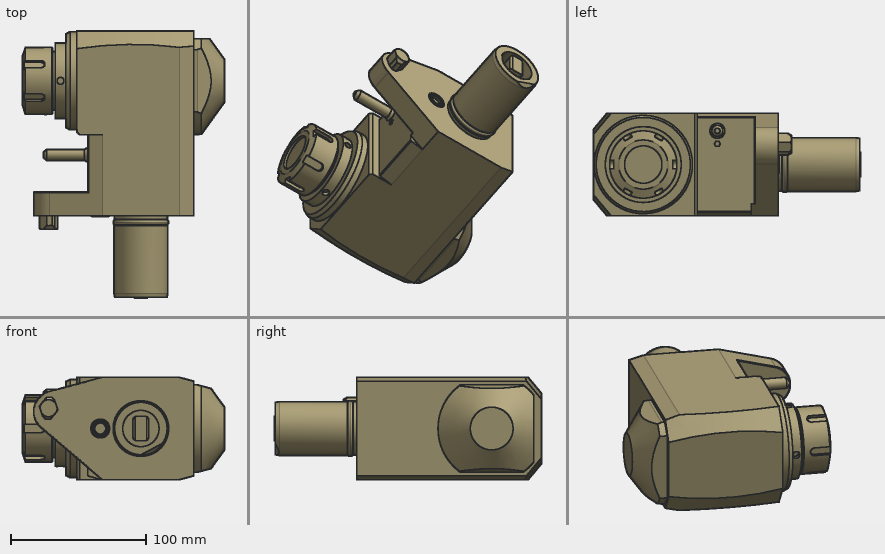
import cadquery as cq
import math


HALF_HEIGHT = 38.0
BLOCK_LEFT = -47.3
BLOCK_RIGHT = 39.2
BLOCK_BACK = 137.0
BLOCK_FRONT = 60.0
BEVEL_START = 28.3
BEVEL_ANGLE = math.radians(15)
BEVEL_SLOPE = math.tan(BEVEL_ANGLE)
FRONT_CORNER_CHAMFER = 2.0
REAR_CUT_ANGLE = 40.0
REAR_CUT_DEPTH = 7.7
REAR_CUT_RADIUS = 356.4
REAR_CUT_CENTER_X = -6.0

COLUMN_LEFT = -39.2
SHOULDER_X = -28.5
RIM_CHAMFER = 0.5
ARM_THICKNESS = 17.8
FOOT_THICKNESS = 20.2
LUG_X = -64.0
LUG_Z = 12.5
LUG_RADIUS = (HALF_HEIGHT - LUG_Z) * math.cos(BEVEL_ANGLE) - (SHOULDER_X - LUG_X) * math.sin(BEVEL_ANGLE)

SPINDLE_Y = 100.0
FLANGE_RADIUS = 36.5
FLANGE_FACE_RADIUS = 34.8
FLANGE_EDGE_X = -52.3
FLANGE_FACE_X = -55.5
RING_RADIUS = 28.1
RING_FACE_X = -63.5
NECK_RADIUS = 21.8
NUT_RADIUS = 25.0
NUT_BACK_X = -65.3
NUT_BACK_CHAMFER = 0.8
NUT_FRONT_X = -87.7
NUT_FACE_RADIUS = 18.2
NUT_CONE_LENGTH = 2.2
COLLET_RADIUS = 13.9
COLLET_DEPTH = 2.0
SLOT_COUNT = 6
SLOT_WIDTH = 6.1
SLOT_END_X = -71.0
SLOT_FLOOR_RADIUS = 22.0
RING_HOLE_COUNT = 4
RING_HOLE_DIAMETER = 5.1
RING_HOLE_DEPTH = 4.0

CAP_RADIUS = 39.8
CAP_CONE_X = 44.7
CAP_END_X = 62.0
CAP_END_RADIUS = 15.8
CAP_BACK_FLAT_Y = 131.3
CAP_FLAT_Z = 32.5
CAP_FLAT_BEND_X = 41.5

SHANK_RADIUS = 20.0
SHANK_END_Y = -60.4
SHANK_TAPER_LENGTH = 3.2
SHANK_END_RADIUS = 19.5
COLLAR_RADIUS = 19.8
GROOVE_RADIUS = 19.0
GROOVE_START_Y = -2.4
GROOVE_END_Y = -7.1
SEAL_RADIUS = 2.0
SEAL_OUTER_RADIUS = 20.5
BORE_RADIUS = 13.5
BORE_DEPTH = 11.9
BEVEL_CUT_OFFSET = 17.2
BEVEL_CUT_ANGLE = -62.0
TONGUE_WIDTH = 11.9
TONGUE_HEIGHT = 18.2
TONGUE_PROTRUSION = 0.5
TONGUE_CORNER_RADIUS = 3.2
TONGUE_CHAMFER = 1.5

BOLT_X = -68.3
BOLT_Z = 15.0
BOLT_HEIGHT = 9.9
BOLT_CORNERS = [(7.0, -1.4), (4.5, 5.5), (2.4, 8.1), (-1.4, 8.1)]
BOLT_END_RADIUS = 6.3
BOLT_CONE_LENGTH = 3.0
BOLT_CONE_WIDENING = 2.0

PLUG_X = -30.0
PLUG_RADIUS = 7.0
PLUG_FACE_RADIUS = 6.0
PLUG_HEIGHT = 0.5
PLUG_RECESS_RADIUS = 5.1
PLUG_BORE_RADIUS = 4.2
PLUG_BORE_DEPTH = 2.0

PIN_Y = 45.1
PIN_Z = 25.0
PIN_RADIUS = 4.2
PIN_TIP_RADIUS = 2.0
PIN_TIP_X = -72.3
PIN_TIP_LENGTH = 2.5
PIN_COLLAR_RADIUS = 5.5
PIN_COLLAR_LENGTH = 2.5
SCREW_Z = 15.2
SOCKET_SIDES = 6
SOCKET_DIAMETER = 4.4
SOCKET_DEPTH = 2.0

OVERLAP = 2.0
FAR = 118.8


def front_plane(y):
    """XZ plane at height y whose normal points along -Y."""
    return cq.Workplane("XZ", origin=(0, y, 0))


def turned_x(profile, y, z):
    """Revolve (x, radius) points about the line parallel to X at (y, z)."""
    points = [(profile[0][0], 0), *profile, (profile[-1][0], 0)]
    outline = cq.Workplane("XY", origin=(0, y, z)).polyline(points).close()
    return outline.revolve(360, (0, 0, 0), (1, 0, 0))


def turned_y(profile, x, z):
    """Revolve (radius, y) points about the line parallel to Y at (x, z)."""
    points = [(0, profile[0][1]), *profile, (0, profile[-1][1])]
    outline = cq.Workplane("XY", origin=(x, 0, z)).polyline(points).close()
    return outline.revolve(360, (0, 0, 0), (0, 1, 0))


def lug_tangent(corner, side):
    """Point where the line from corner touches the lug circle, on side +1 or -1."""
    dx = corner[0] - LUG_X
    dz = corner[1] - LUG_Z
    turn = side * math.acos(LUG_RADIUS / math.hypot(dx, dz))
    angle = math.atan2(dz, dx) + turn
    return (LUG_X + LUG_RADIUS * math.cos(angle), LUG_Z + LUG_RADIUS * math.sin(angle))


def bevel_drop(run):
    """Height lost along a bevelled side over a run in X."""
    return run * BEVEL_SLOPE


BEVEL_END_Z = HALF_HEIGHT - bevel_drop(BLOCK_RIGHT - BEVEL_START)
RIGHT_OUTLINE = [
    (BEVEL_START, HALF_HEIGHT),
    (BLOCK_RIGHT, BEVEL_END_Z),
    (BLOCK_RIGHT, -BEVEL_END_Z),
    (BEVEL_START, -HALF_HEIGHT),
]


def rear_corner_cut():
    """Slightly cylindrical cut that takes off the upper rear edge of the block."""
    angle = math.radians(REAR_CUT_ANGLE)
    normal = (0, math.cos(angle), math.sin(angle))
    origin = (
        REAR_CUT_CENTER_X,
        BLOCK_BACK - REAR_CUT_DEPTH * normal[1],
        HALF_HEIGHT - REAR_CUT_DEPTH * normal[2],
    )
    plane = cq.Plane(origin=origin, xDir=(1, 0, 0), normal=(0, -normal[2], normal[1]))
    half = BLOCK_RIGHT - BLOCK_LEFT
    sag = REAR_CUT_RADIUS - math.sqrt(REAR_CUT_RADIUS**2 - half**2)
    profile = cq.Workplane(plane).moveTo(-half, -sag).threePointArc((0, 0), (half, -sag))
    return profile.lineTo(half, HALF_HEIGHT).lineTo(-half, HALF_HEIGHT).close().extrude(FAR, both=True)


def make_block():
    outline = [(BLOCK_LEFT, -HALF_HEIGHT), (BLOCK_LEFT, HALF_HEIGHT), *RIGHT_OUTLINE]
    block = front_plane(BLOCK_BACK).polyline(outline).close().extrude(BLOCK_BACK - BLOCK_FRONT)
    block = block.faces("<X").edges("<Y").chamfer(FRONT_CORNER_CHAMFER)
    upper_cut = rear_corner_cut()
    return block.cut(upper_cut).cut(upper_cut.mirror("XY"))


def arm_prism(thickness):
    """Arm outline: the block side tapering tangentially to the round lug."""
    top = lug_tangent((SHOULDER_X, HALF_HEIGHT), 1)
    bottom = lug_tangent((SHOULDER_X, -HALF_HEIGHT), -1)
    outline = front_plane(thickness).moveTo(*bottom)
    outline = outline.threePointArc((LUG_X - LUG_RADIUS, LUG_Z), top).lineTo(SHOULDER_X, HALF_HEIGHT)
    for point in RIGHT_OUTLINE:
        outline = outline.lineTo(*point)
    return outline.lineTo(SHOULDER_X, -HALF_HEIGHT).close().extrude(thickness)


def make_column():
    """Column and arm between the seating face and the block."""
    wall_z = HALF_HEIGHT - bevel_drop(SHOULDER_X - COLUMN_LEFT)
    outline = [
        (SHOULDER_X, -HALF_HEIGHT),
        (COLUMN_LEFT, -wall_z),
        (COLUMN_LEFT, wall_z),
        (SHOULDER_X, HALF_HEIGHT),
        *RIGHT_OUTLINE,
    ]
    column = front_plane(BLOCK_FRONT).polyline(outline).close().extrude(BLOCK_FRONT)
    column = column.faces("<X").edges("|Y").chamfer(RIM_CHAMFER)
    foot_space = cq.Workplane("XY").box(2 * FAR, 2 * FOOT_THICKNESS, 2 * FAR)
    foot = column.intersect(arm_prism(FOOT_THICKNESS))
    arm = arm_prism(ARM_THICKNESS).faces(">Y").edges().chamfer(RIM_CHAMFER)
    return column.cut(foot_space).union(foot).union(arm)


def make_spindle():
    profile = [
        (BLOCK_LEFT + OVERLAP, FLANGE_RADIUS),
        (FLANGE_EDGE_X, FLANGE_RADIUS),
        (FLANGE_FACE_X, FLANGE_FACE_RADIUS),
        (FLANGE_FACE_X, RING_RADIUS),
        (RING_FACE_X, RING_RADIUS),
        (RING_FACE_X, NECK_RADIUS),
        (NUT_BACK_X, NECK_RADIUS),
        (NUT_BACK_X, NUT_RADIUS - NUT_BACK_CHAMFER),
        (NUT_BACK_X - NUT_BACK_CHAMFER, NUT_RADIUS),
        (NUT_FRONT_X + NUT_CONE_LENGTH, NUT_RADIUS),
        (NUT_FRONT_X, NUT_FACE_RADIUS),
        (NUT_FRONT_X, COLLET_RADIUS),
        (NUT_FRONT_X + COLLET_DEPTH, COLLET_RADIUS),
    ]
    spindle = turned_x(profile, SPINDLE_Y, 0)

    slot_outer_length = 2 * (SLOT_END_X - NUT_FRONT_X)
    slot = (
        front_plane(SPINDLE_Y + NUT_RADIUS + OVERLAP)
        .center(NUT_FRONT_X, 0)
        .slot2D(slot_outer_length, SLOT_WIDTH)
        .extrude(NUT_RADIUS + OVERLAP - SLOT_FLOOR_RADIUS)
    )
    axis_start = (0, SPINDLE_Y, 0)
    axis_end = (1, SPINDLE_Y, 0)
    for index in range(SLOT_COUNT):
        spindle = spindle.cut(slot.rotate(axis_start, axis_end, index * 360 / SLOT_COUNT))

    ring_middle = (FLANGE_FACE_X + RING_FACE_X) / 2
    hole = (
        cq.Workplane("XY", origin=(ring_middle, SPINDLE_Y, RING_RADIUS - RING_HOLE_DEPTH))
        .circle(RING_HOLE_DIAMETER / 2)
        .extrude(RING_HOLE_DEPTH + OVERLAP)
    )
    for index in range(RING_HOLE_COUNT):
        spindle = spindle.cut(hole.rotate(axis_start, axis_end, index * 360 / RING_HOLE_COUNT))
    return spindle


def make_cap():
    profile = [
        (BLOCK_RIGHT - OVERLAP, CAP_RADIUS),
        (CAP_CONE_X, CAP_RADIUS),
        (CAP_END_X, CAP_END_RADIUS),
    ]
    cap = turned_x(profile, SPINDLE_Y, 0)
    end_z = CAP_FLAT_Z - bevel_drop(CAP_END_X - CAP_FLAT_BEND_X)
    start_x = BLOCK_RIGHT - OVERLAP
    side = [
        (start_x, CAP_FLAT_Z),
        (CAP_FLAT_BEND_X, CAP_FLAT_Z),
        (CAP_END_X, end_z),
        (CAP_END_X, -end_z),
        (CAP_FLAT_BEND_X, -CAP_FLAT_Z),
        (start_x, -CAP_FLAT_Z),
    ]
    kept = front_plane(CAP_BACK_FLAT_Y).polyline(side).close().extrude(FAR)
    return cap.intersect(kept)


def make_shank():
    profile = [
        (COLLAR_RADIUS, OVERLAP),
        (COLLAR_RADIUS, GROOVE_START_Y),
        (GROOVE_RADIUS, GROOVE_START_Y),
        (GROOVE_RADIUS, GROOVE_END_Y),
        (SHANK_RADIUS, GROOVE_END_Y),
        (SHANK_RADIUS, SHANK_END_Y + SHANK_TAPER_LENGTH),
        (SHANK_END_RADIUS, SHANK_END_Y),
        (BORE_RADIUS, SHANK_END_Y),
        (BORE_RADIUS, SHANK_END_Y + BORE_DEPTH),
    ]
    shank = turned_y(profile, 0, 0)

    seal_offset = SEAL_OUTER_RADIUS - SEAL_RADIUS
    seal = (
        cq.Workplane("XY")
        .center(seal_offset, (GROOVE_START_Y + GROOVE_END_Y) / 2)
        .circle(SEAL_RADIUS)
        .revolve(360, (-seal_offset, 0, 0), (-seal_offset, 1, 0))
    )
    shank = shank.union(seal)

    size = SHANK_RADIUS
    bevel = (
        cq.Workplane("XY")
        .moveTo(BEVEL_CUT_OFFSET, SHANK_END_Y)
        .lineTo(BEVEL_CUT_OFFSET + size, SHANK_END_Y + size)
        .lineTo(BEVEL_CUT_OFFSET + size, SHANK_END_Y)
        .close()
        .extrude(size, both=True)
        .rotate((0, 0, 0), (0, 1, 0), -BEVEL_CUT_ANGLE)
    )
    shank = shank.cut(bevel)

    tongue = (
        front_plane(SHANK_END_Y + BORE_DEPTH + OVERLAP)
        .rect(TONGUE_WIDTH, TONGUE_HEIGHT)
        .extrude(BORE_DEPTH + OVERLAP + TONGUE_PROTRUSION)
        .faces("<Y")
        .edges("|Z")
        .chamfer(TONGUE_CHAMFER)
        .edges("|Y")
        .fillet(TONGUE_CORNER_RADIUS)
    )
    return shank.union(tongue)


def make_bolt():
    corners = BOLT_CORNERS + [(-x, -z) for x, z in BOLT_CORNERS]
    head = front_plane(OVERLAP).center(BOLT_X, BOLT_Z).polyline(corners).close()
    head = head.extrude(BOLT_HEIGHT + OVERLAP)
    wide_radius = BOLT_END_RADIUS + BOLT_CONE_WIDENING
    cone = [
        (wide_radius, OVERLAP),
        (wide_radius, BOLT_CONE_LENGTH - BOLT_HEIGHT),
        (BOLT_END_RADIUS, -BOLT_HEIGHT),
    ]
    return head.intersect(turned_y(cone, BOLT_X, BOLT_Z))


def make_plug():
    profile = [(PLUG_RADIUS, OVERLAP), (PLUG_RADIUS, 0), (PLUG_FACE_RADIUS, -PLUG_HEIGHT)]
    return turned_y(profile, PLUG_X, 0)


def plug_recess():
    profile = [
        (PLUG_RECESS_RADIUS, -PLUG_HEIGHT),
        (PLUG_RECESS_RADIUS, 0),
        (PLUG_BORE_RADIUS, 0),
        (PLUG_BORE_RADIUS, PLUG_BORE_DEPTH),
    ]
    return turned_y(profile, PLUG_X, 0)


def make_pin():
    collar_x = COLUMN_LEFT - PIN_COLLAR_LENGTH
    profile = [
        (COLUMN_LEFT + OVERLAP, PIN_COLLAR_RADIUS),
        (COLUMN_LEFT, PIN_COLLAR_RADIUS),
        (collar_x, PIN_RADIUS),
        (PIN_TIP_X + PIN_TIP_LENGTH, PIN_RADIUS),
        (PIN_TIP_X, PIN_TIP_RADIUS),
    ]
    return turned_x(profile, PIN_Y, PIN_Z)


def screw_socket():
    plane = cq.Workplane("YZ", origin=(COLUMN_LEFT, PIN_Y, SCREW_Z))
    return plane.polygon(SOCKET_SIDES, SOCKET_DIAMETER).extrude(SOCKET_DEPTH)


result = make_block().union(make_column())
for feature in (make_spindle(), make_cap(), make_shank(), make_bolt(), make_plug(), make_pin()):
    result = result.union(feature)
for recess in (plug_recess(), screw_socket()):
    result = result.cut(recess)